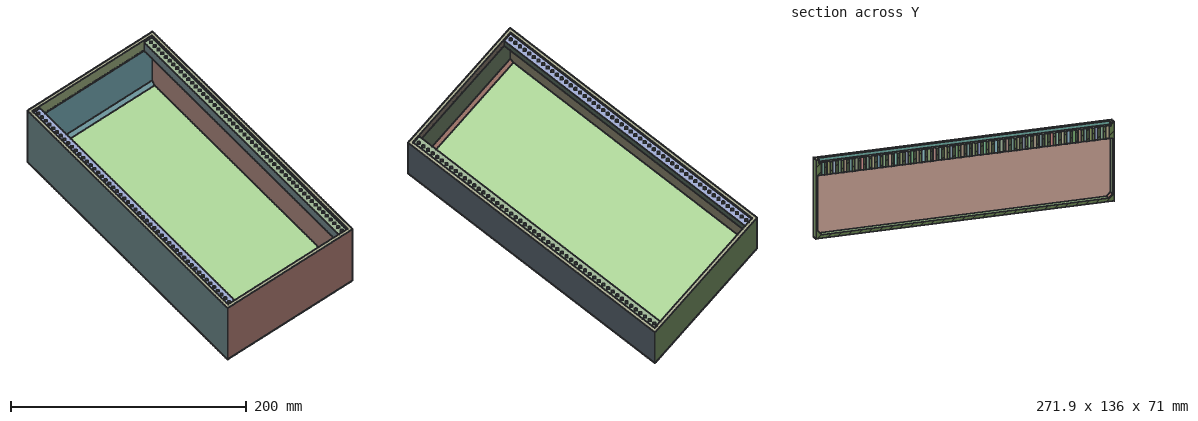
import cadquery as cq

LENGTH = 271.9
WIDTH = 136.0
HEIGHT = 71.0
UPPER_WALL = 3.0
LOWER_WALL = 2.0
FLOOR = 3.5
FLOOR_BEVEL = 3.4

RAIL_WIDTH = 8.5
RAIL_HEIGHT = 11.5
RAIL_RECESS = 3.0

HOLE_DIAMETER = 2.5
HOLE_PITCH = 5.08
HOLES_PER_RAIL = 52
HOLE_ROW_SPACING = 122.5

UPPER_LENGTH = LENGTH - 2 * UPPER_WALL
UPPER_WIDTH = WIDTH - 2 * UPPER_WALL
LOWER_LENGTH = LENGTH - 2 * LOWER_WALL
LOWER_WIDTH = WIDTH - 2 * LOWER_WALL
RAIL_TOP = HEIGHT - RAIL_RECESS
RAIL_BOTTOM = RAIL_TOP - RAIL_HEIGHT


def make_block(length, width, bottom, top, y=0.0):
    """Rectangular block between two heights, centred on X = 0 and the given Y."""
    return cq.Workplane("XY", origin=(0, y, bottom)).rect(length, width).extrude(top - bottom)


def make_upper_cavity():
    """Opening at rail level, between the thicker upper walls."""
    return make_block(UPPER_LENGTH, UPPER_WIDTH, RAIL_BOTTOM, HEIGHT)


def make_lower_cavity():
    """Wider space below the rails, bevelled where the floor meets each end wall."""
    space = make_block(LOWER_LENGTH, LOWER_WIDTH, FLOOR, RAIL_BOTTOM)
    return space.faces("<Z").edges("|Y").chamfer(FLOOR_BEVEL)


def make_rail(side):
    """Rail along the long wall on the given side (+1 or -1) in Y."""
    rail_y = side * (UPPER_WIDTH - RAIL_WIDTH) / 2
    return make_block(UPPER_LENGTH, RAIL_WIDTH, RAIL_BOTTOM, RAIL_TOP, rail_y)


def make_screw_holes():
    """Two rows of holes running down through the full height of the rails."""
    return (
        cq.Workplane("XY", origin=(0, 0, RAIL_BOTTOM))
        .rarray(HOLE_PITCH, HOLE_ROW_SPACING, HOLES_PER_RAIL, 2)
        .circle(HOLE_DIAMETER / 2)
        .extrude(RAIL_HEIGHT)
    )


opening = make_upper_cavity()
for side in (-1, 1):
    opening = opening.cut(make_rail(side))

result = make_block(LENGTH, WIDTH, 0, HEIGHT)
result = result.cut(opening).cut(make_lower_cavity()).cut(make_screw_holes())